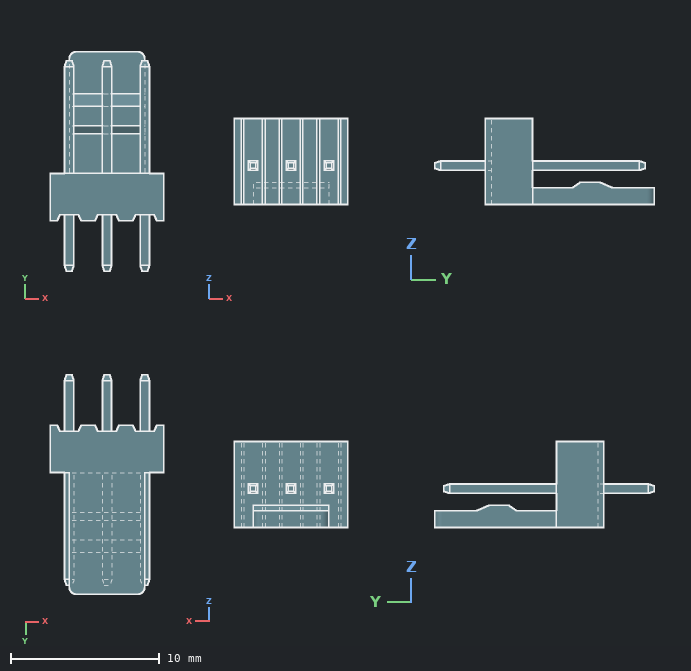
import cadquery as cq

pin_count = 3
pin_pitch = 2.55

base_width = 7.67
base_depth = 3.2
base_height = 5.8

groove_mouth_width = 1.6
groove_floor_width = 1.25
groove_depth = 0.4

pin_size = 0.64
pin_tip_size = 0.37
pin_taper_length = 0.4
pin_rear_end = 7.59
pin_front_end = -6.6
pin_height = 2.62

tongue_width = (pin_count - 1) * pin_pitch
tongue_length = 8.2
tongue_thickness = 1.14
tongue_corner_radius = 0.5
ramp_height = 1.51
ramp_front_foot = 2.68
ramp_front_top = 3.21
ramp_rear_top = 4.53
ramp_rear_foot = 5.37

pin_positions = [(i - (pin_count - 1) / 2) * pin_pitch for i in range(pin_count)]


def make_base():
    """Block with one full-height groove in front of each pin."""
    base = cq.Workplane("XY").box(base_width, base_depth, base_height, centered=(True, False, False))
    base = base.translate((0, -base_depth, 0))
    groove_floor = groove_depth - base_depth
    for x in pin_positions:
        groove = (
            cq.Workplane("XY")
            .moveTo(x - groove_mouth_width / 2, -base_depth)
            .lineTo(x + groove_mouth_width / 2, -base_depth)
            .lineTo(x + groove_floor_width / 2, groove_floor)
            .lineTo(x - groove_floor_width / 2, groove_floor)
            .close()
            .extrude(base_height)
        )
        base = base.cut(groove)
    return base


def make_tongue():
    """Side profile extruded across X, with its two free corners rounded."""
    return (
        cq.Workplane("YZ")
        .polyline([
            (0, 0),
            (tongue_length, 0),
            (tongue_length, tongue_thickness),
            (ramp_rear_foot, tongue_thickness),
            (ramp_rear_top, ramp_height),
            (ramp_front_top, ramp_height),
            (ramp_front_foot, tongue_thickness),
            (0, tongue_thickness),
        ])
        .close()
        .extrude(tongue_width / 2, both=True)
        .edges("|Z and >Y")
        .fillet(tongue_corner_radius)
    )


def make_tip(shoulder, end):
    """Four-sided taper along Y from the pin's full section at shoulder to its tip at end."""
    return (
        cq.Workplane("XZ", origin=(0, shoulder, pin_height))
        .rect(pin_size, pin_size)
        .workplane(offset=shoulder - end)
        .rect(pin_tip_size, pin_tip_size)
        .loft()
    )


def make_pin():
    """Square bar along Y with a tapered tip at each end."""
    rear_shoulder = pin_rear_end - pin_taper_length
    front_shoulder = pin_front_end + pin_taper_length
    bar = (
        cq.Workplane("XZ", origin=(0, rear_shoulder, pin_height))
        .rect(pin_size, pin_size)
        .extrude(rear_shoulder - front_shoulder)
    )
    return bar.union(make_tip(rear_shoulder, pin_rear_end)).union(make_tip(front_shoulder, pin_front_end))


result = make_base().union(make_tongue())
for x in pin_positions:
    result = result.union(make_pin().translate((x, 0, 0)))